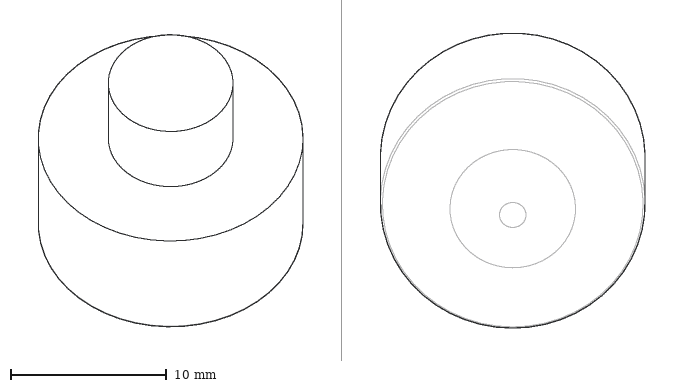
import cadquery as cq
import math

total_height = 16.7
body_radius = 8.5
body_top = 11.08
body_bottom = 2.41
stem_radius = 8.0 / 2
edge_radius = 0.17
cone_angle = math.radians(11.0)
cone_inner_radius = 4.03
tip_radius = 0.85
tip_height = 0.2

edge_center_r = body_radius - edge_radius
cone_outer_radius = edge_center_r + edge_radius * math.sin(cone_angle)
cone_outer_z = body_bottom - edge_radius * math.cos(cone_angle)

cone_inner_z = cone_outer_z - (cone_outer_radius - cone_inner_radius) * math.tan(cone_angle)

tip_sphere_radius = (tip_radius**2 + tip_height**2) / (2 * tip_height)
tip_mid_r = tip_radius / 2
tip_mid_z = tip_sphere_radius - math.sqrt(tip_sphere_radius**2 - tip_mid_r**2)

profile = (
    cq.Workplane("XZ")
    .moveTo(0, total_height)
    .lineTo(stem_radius, total_height)
    .lineTo(stem_radius, body_top)
    .lineTo(body_radius, body_top)
    .lineTo(body_radius, body_bottom)
    .tangentArcPoint((cone_outer_radius, cone_outer_z), relative=False)
    .lineTo(cone_inner_radius, cone_inner_z)
    .tangentArcPoint((tip_radius, tip_height), relative=False)
    .threePointArc((tip_mid_r, tip_mid_z), (0, 0))
    .close()
)

result = profile.revolve(360, (0, 0, 0), (0, 1, 0))